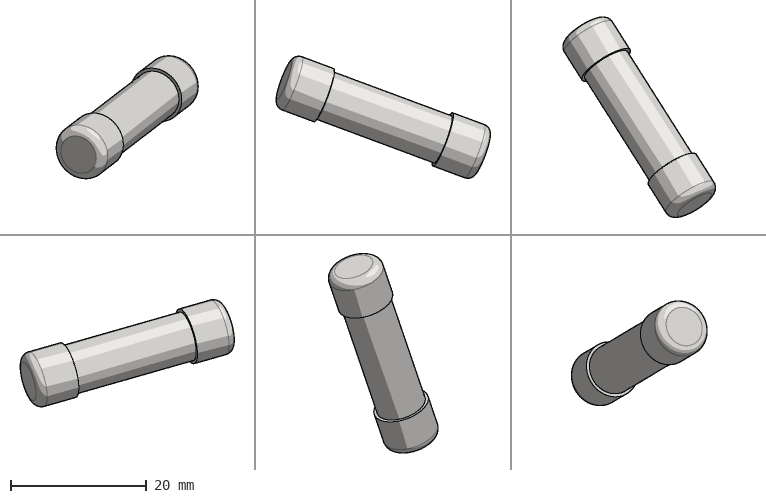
import cadquery as cq

total_length = 31.5
cap_diameter = 8.38
cap_length = 6.3
cap_edge_radius = 1.25
body_diameter = 7.43

half_length = total_length / 2


def make_cap():
    """End cap on the -Y end, with its outer rim rounded."""
    return (
        cq.Workplane("XZ", origin=(0, -half_length, 0))
        .circle(cap_diameter / 2)
        .extrude(-cap_length)
        .faces("<Y")
        .edges()
        .fillet(cap_edge_radius)
    )


def make_body():
    """Straight cylinder along Y, reaching into both caps."""
    body_length = total_length - 2 * cap_edge_radius
    return cq.Workplane("XZ").circle(body_diameter / 2).extrude(body_length / 2, both=True)


cap = make_cap()
result = make_body().union(cap).union(cap.mirror("XZ"))